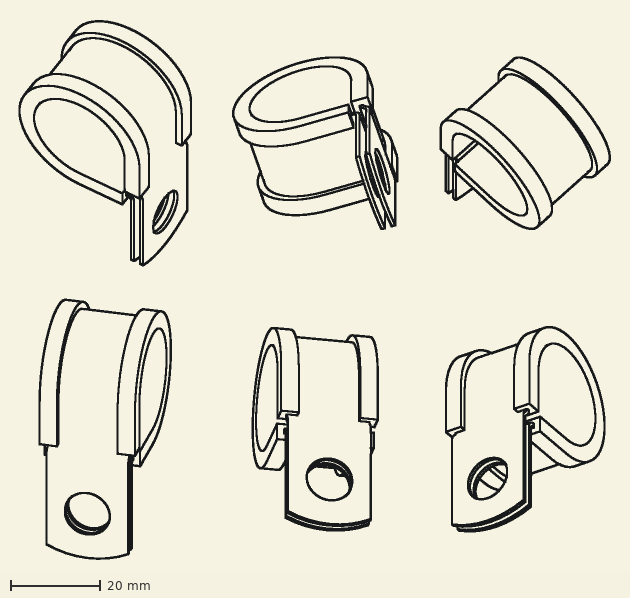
import cadquery as cq
import math

total_height = 53.85
outer_radius = 15.8
inner_radius = 11.9
cushion_width = 22.1
groove_width = 14.05
side_arm_end_z = -10.9
lower_arm_end_x = 11.25

strap_width = 18.9
strap_thickness = 0.85
strap_outer_radius = 14.2
bend_inner_radius = 0.85
jog_angle = math.radians(45)
inner_tab_outer_x = 13.4

hole_diameter = 10.4
hole_z = -26.9
tab_end_sagitta = 2.2

tab_bottom_z = outer_radius - total_height
strap_mid_radius = strap_outer_radius - strap_thickness / 2
bend_radius = bend_inner_radius + strap_thickness / 2
outer_tab_x = outer_radius - strap_thickness / 2
inner_tab_x = inner_tab_outer_x - strap_thickness / 2


def loop_band(band_outer, band_inner, width):
    """Three-quarter ring with two straight arms, centred on Y."""
    diagonal = math.sqrt(0.5)
    return (
        cq.Workplane("XZ")
        .moveTo(band_outer, side_arm_end_z)
        .lineTo(band_outer, 0)
        .threePointArc((-band_outer * diagonal, band_outer * diagonal), (0, -band_outer))
        .lineTo(lower_arm_end_x, -band_outer)
        .lineTo(lower_arm_end_x, -band_inner)
        .lineTo(0, -band_inner)
        .threePointArc((-band_inner * diagonal, band_inner * diagonal), (band_inner, 0))
        .lineTo(band_inner, side_arm_end_z)
        .close()
        .extrude(width / 2, both=True)
    )


def make_cushion():
    """Rubber channel whose outer groove exposes the strap."""
    body = loop_band(outer_radius, inner_radius, cushion_width)
    groove = loop_band(outer_radius + strap_thickness, strap_outer_radius, groove_width)
    return body.cut(groove)


def strap_path():
    """Centre line from the outer tab, through the jog, around the loop to the inner tab."""
    jog_offset = outer_tab_x - strap_mid_radius
    arc_dx = bend_radius * (1 - math.cos(jog_angle))
    arc_dz = bend_radius * math.sin(jog_angle)
    slope_dz = (jog_offset - 2 * arc_dx) / math.tan(jog_angle)
    jog_bottom_z = side_arm_end_z - slope_dz - 2 * arc_dz
    diagonal = strap_mid_radius * math.sqrt(0.5)
    return (
        cq.Workplane("XZ")
        .moveTo(outer_tab_x, tab_bottom_z)
        .lineTo(outer_tab_x, jog_bottom_z)
        .tangentArcPoint((outer_tab_x - arc_dx, jog_bottom_z + arc_dz), relative=False)
        .lineTo(strap_mid_radius + arc_dx, side_arm_end_z - arc_dz)
        .tangentArcPoint((strap_mid_radius, side_arm_end_z), relative=False)
        .lineTo(strap_mid_radius, 0)
        .threePointArc((-diagonal, diagonal), (0, -strap_mid_radius))
        .lineTo(inner_tab_x - bend_radius, -strap_mid_radius)
        .tangentArcPoint((inner_tab_x, -strap_mid_radius - bend_radius), relative=False)
        .lineTo(inner_tab_x, tab_bottom_z)
    )


def make_strap():
    """Bent strap with arched tab ends and one bolt hole through both tabs."""
    strap = (
        cq.Workplane("XY", origin=(outer_tab_x, 0, tab_bottom_z))
        .rect(strap_thickness, strap_width)
        .sweep(strap_path())
    )
    half_width = strap_width / 2
    corner_z = tab_bottom_z + tab_end_sagitta
    envelope = (
        cq.Workplane("YZ")
        .moveTo(-half_width, corner_z)
        .threePointArc((0, tab_bottom_z), (half_width, corner_z))
        .lineTo(half_width, outer_radius)
        .lineTo(-half_width, outer_radius)
        .close()
        .extrude(outer_radius, both=True)
    )
    bolt_hole = (
        cq.Workplane("YZ")
        .center(0, hole_z)
        .circle(hole_diameter / 2)
        .extrude(outer_radius, both=True)
    )
    return strap.intersect(envelope).cut(bolt_hole)


result = make_cushion().union(make_strap())